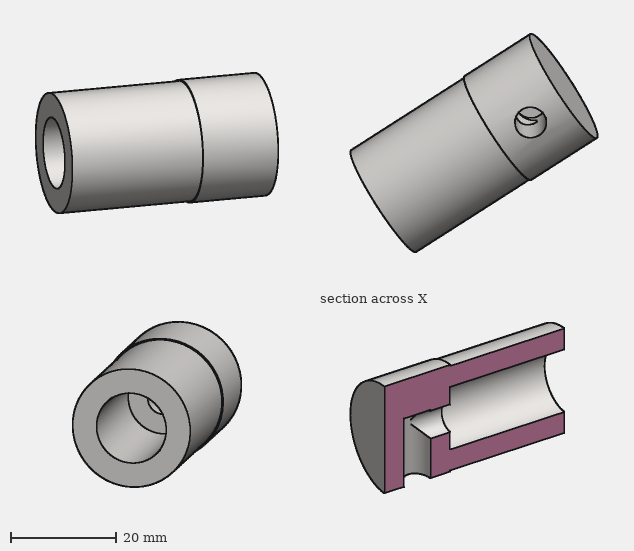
import cadquery as cq

total_length = 41.0
collar_length = 15.0
collar_diameter = 23.5
body_diameter = 23.0
socket_diameter = 13.6
passage_diameter = 6.0
outlet_headroom = 0.2

body_length = total_length - collar_length
socket_depth = body_length
outlet_y = body_length + collar_length / 2


def cylinder_along_y(diameter, start, length):
    """Solid cylinder on the Y axis, from Y = start to start + length."""
    plane = cq.Plane(origin=(0, start, 0), xDir=(0, 0, 1), normal=(0, 1, 0))
    return cq.Workplane(plane).circle(diameter / 2).extrude(length)


body = cylinder_along_y(body_diameter, 0, body_length)
collar = cylinder_along_y(collar_diameter, body_length, collar_length)

socket = cylinder_along_y(socket_diameter, 0, socket_depth)
passage = cylinder_along_y(passage_diameter, 0, outlet_y)

outlet_length = collar_diameter / 2 + passage_diameter / 2 + outlet_headroom
outlet = (
    cq.Workplane("XY", origin=(0, outlet_y, -collar_diameter / 2))
    .circle(passage_diameter / 2)
    .extrude(outlet_length)
)

result = body.union(collar).cut(socket).cut(passage).cut(outlet)